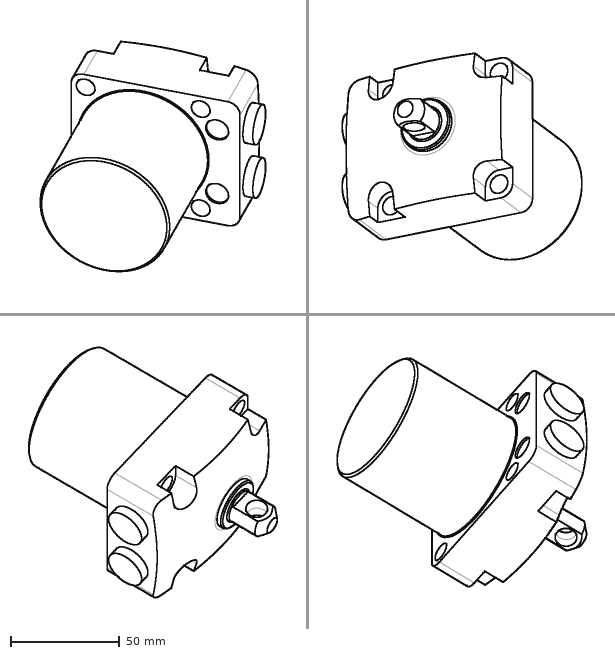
import cadquery as cq
import math

AXIS_TO_SIDE = 35.0
FLANGE_LENGTH = 82.0
FLANGE_TOP = 37.6
FLANGE_CORNER_RADIUS = 6.0
CROWN_RADIUS = 14.2
CROWN_SLOPE = 15.0

TOTAL_LENGTH = 117.5
ROD_TIP = 60.0
BARREL_RADIUS = 31.5
BARREL_CHAMFER = 1.0
SHOULDER_RADIUS = 32.0
SHOULDER_HEIGHT = 0.5

BOLT_OFFSET = 28.0
BOLT_DIAMETER = 9.0
POCKET_RADIUS = 7.0
POCKET_FLOOR = 20.0

RECESS_X = 36.0
RECESS_Z = 18.0
RECESS_DIAMETER = 11.0
RECESS_DEPTH = 1.0

COLLAR_RADIUS = 12.6
COLLAR_HEIGHT = 2.8
COLLAR_CHAMFER = 0.7
LIP_HEIGHT = 0.7

ROD_RADIUS = 8.0
ROD_CHAMFER = 4.0
ROD_FLATS = 11.2
FLATS_START = 41.8
EYE_DIAMETER = 10.0
EYE_TO_TIP = 8.9

PORT_DIAMETER = 19.0
PORT_REACH = 4.8
PORT_Y = 14.0
PORT_Z = 15.0

BARREL_LENGTH = TOTAL_LENGTH - ROD_TIP
FLANGE_LEFT = -AXIS_TO_SIDE
FLANGE_RIGHT = FLANGE_LEFT + FLANGE_LENGTH
FLANGE_MIDDLE = (FLANGE_LEFT + FLANGE_RIGHT) / 2
COLLAR_TOP = FLANGE_TOP + COLLAR_HEIGHT
LIP_TOP = COLLAR_TOP + LIP_HEIGHT


def plane_at(y):
    """Plane square to the cylinder axis: local x is X, local y is Z, extrusion goes toward +Y."""
    return cq.Plane(origin=(0, y, 0), xDir=(1, 0, 0), normal=(0, -1, 0))


def disc(radius, start, end):
    """Cylinder on the Y axis between two Y positions."""
    return cq.Workplane(plane_at(start)).circle(radius).extrude(start - end)


def make_flange_block():
    """Rounded plate whose upper face falls away as a cone around the cylinder axis."""
    plate = (
        cq.Workplane(plane_at(0))
        .center(FLANGE_MIDDLE, 0)
        .rect(FLANGE_LENGTH, 2 * AXIS_TO_SIDE)
        .extrude(-FLANGE_TOP)
        .edges("|Y")
        .fillet(FLANGE_CORNER_RADIUS)
    )
    cone_radius = CROWN_RADIUS + FLANGE_TOP / math.tan(math.radians(CROWN_SLOPE))
    cone = (
        cq.Workplane("XY")
        .polyline([(0, 0), (cone_radius, 0), (CROWN_RADIUS, FLANGE_TOP), (0, FLANGE_TOP)])
        .close()
        .revolve(360, (0, 0, 0), (0, 1, 0))
    )
    return plate.intersect(cone)


def make_pocket(x, z):
    """Round bolt head seat, open toward the near Z edge and, on the left, toward the -X edge too."""
    z_side = math.copysign(1, z)
    reach = 2 * POCKET_RADIUS
    depth = FLANGE_TOP - POCKET_FLOOR
    seat = disc(POCKET_RADIUS, POCKET_FLOOR, FLANGE_TOP).translate((x, 0, z))
    middle_y = POCKET_FLOOR + depth / 2
    open_z = z + z_side * POCKET_RADIUS
    slot = cq.Workplane("XY").box(reach, depth, reach).translate((x, middle_y, open_z))
    pocket = seat.union(slot)
    if x < 0:
        corner = cq.Workplane("XY").box(reach, depth, 2 * reach)
        pocket = pocket.union(corner.translate((x - POCKET_RADIUS, middle_y, open_z)))
    return pocket


def make_wiper_lip():
    """Low 45 degree cone on the collar that tapers to the rod surface at its tip."""
    foot_radius = ROD_RADIUS + LIP_HEIGHT
    return (
        cq.Workplane("XY")
        .polyline([(0, COLLAR_TOP), (foot_radius, COLLAR_TOP), (ROD_RADIUS, LIP_TOP), (0, LIP_TOP)])
        .close()
        .revolve(360, (0, 0, 0), (0, 1, 0))
    )


def make_housing():
    """Flange, barrel, shoulder and rod collar in one piece."""
    barrel = disc(BARREL_RADIUS, -BARREL_LENGTH, 0).faces("<Y").chamfer(BARREL_CHAMFER)
    shoulder = disc(SHOULDER_RADIUS, -SHOULDER_HEIGHT, 0)
    collar = disc(COLLAR_RADIUS, FLANGE_TOP, COLLAR_TOP).faces(">Y").chamfer(COLLAR_CHAMFER)
    lip = make_wiper_lip()
    housing = make_flange_block().union(barrel).union(shoulder).union(collar).union(lip)
    housing = housing.cut(disc(ROD_RADIUS, FLANGE_TOP, LIP_TOP))

    for x in (-BOLT_OFFSET, BOLT_OFFSET):
        for z in (-BOLT_OFFSET, BOLT_OFFSET):
            housing = housing.cut(make_pocket(x, z))
            hole = cq.Workplane(plane_at(0)).center(x, z).circle(BOLT_DIAMETER / 2)
            housing = housing.cut(hole.extrude(-FLANGE_TOP))

    recesses = (
        cq.Workplane(plane_at(0))
        .pushPoints([(RECESS_X, -RECESS_Z), (RECESS_X, RECESS_Z)])
        .circle(RECESS_DIAMETER / 2)
        .extrude(-RECESS_DEPTH)
    )
    return housing.cut(recesses)


def make_flat_cut():
    """Waste above the +Z rod flat; its lower end runs out at 45 degrees to the rod surface."""
    runout = ROD_RADIUS - ROD_FLATS / 2
    return (
        cq.Workplane("YZ")
        .polyline(
            [
                (ROD_TIP, ROD_FLATS / 2),
                (FLATS_START, ROD_FLATS / 2),
                (FLATS_START - runout, ROD_RADIUS),
                (ROD_TIP, ROD_RADIUS),
            ]
        )
        .close()
        .extrude(ROD_RADIUS, both=True)
    )


def make_rod():
    """Chamfered rod seated in the collar bore, with two flats and a cross eye along Z."""
    rod = disc(ROD_RADIUS, FLANGE_TOP, ROD_TIP).faces(">Y").chamfer(ROD_CHAMFER)
    flat_cut = make_flat_cut()
    eye = (
        cq.Workplane("XY")
        .center(0, ROD_TIP - EYE_TO_TIP)
        .circle(EYE_DIAMETER / 2)
        .extrude(ROD_RADIUS, both=True)
    )
    return rod.cut(flat_cut).cut(flat_cut.mirror("XY")).cut(eye)


def make_port(z):
    """Round port boss on the +X side of the flange."""
    port_face = cq.Workplane("YZ", origin=(FLANGE_RIGHT, PORT_Y, z))
    return port_face.circle(PORT_DIAMETER / 2).extrude(PORT_REACH)


housing = make_housing()
rod = make_rod()
ports = [make_port(z) for z in (-PORT_Z, PORT_Z)]

result = cq.Compound.makeCompound([housing.val(), rod.val(), *[port.val() for port in ports]])